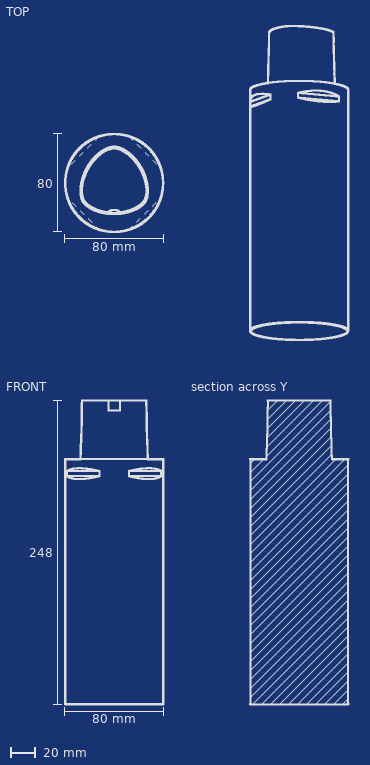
import math
import cadquery as cq

total_length = 248.0
body_diameter = 80.0
body_radius = body_diameter / 2
bottom_chamfer = 0.5

shank_length = 47.9
shank_base_radius = 27.5
shank_taper = 1 / 20
shank_top_radius = shank_base_radius - shank_length * shank_taper / 2
lobe_height = 2.1
profile_points = 48
body_length = total_length - shank_length

notch_radius = 6.0
notch_depth_z = 8.5
notch_inner_y = -21.8

groove_count = 4
groove_first_angle = 45.0
groove_center_z = 188.2
groove_floor_distance = 35.5
groove_floor_height = 4.0
groove_mouth_height = 9.0


def lobed_point(t, mean_radius):
    """Point of the curve whose tangent lies mean_radius + lobe_height * cos(3a) from the axis."""
    angle = 2 * math.pi * t
    support = mean_radius + lobe_height * math.cos(3 * angle)
    slope = -3 * lobe_height * math.sin(3 * angle)
    along_lobe = support * math.cos(angle) - slope * math.sin(angle)
    across_lobe = support * math.sin(angle) + slope * math.cos(angle)
    return -across_lobe, along_lobe


def lobed_wire(mean_radius, z):
    points = [
        cq.Vector(*lobed_point(i / profile_points, mean_radius), z)
        for i in range(profile_points)
    ]
    return cq.Wire.assembleEdges([cq.Edge.makeSpline(points, periodic=True)])


def make_body():
    return (
        cq.Workplane("XY")
        .circle(body_radius)
        .extrude(body_length)
        .faces("<Z")
        .chamfer(bottom_chamfer)
    )


def make_shank():
    base = lobed_wire(shank_base_radius, body_length)
    top = lobed_wire(shank_top_radius, total_length)
    return cq.Workplane(cq.Solid.makeLoft([base, top], True))


def make_notch():
    return (
        cq.Workplane("XY", origin=(0, notch_inner_y - notch_radius, total_length))
        .circle(notch_radius)
        .extrude(-notch_depth_z)
    )


def make_groove(angle):
    """Straight trapezoidal cutter that widens to its mouth at the body surface."""
    half_floor = groove_floor_height / 2
    half_mouth = groove_mouth_height / 2
    section = [
        (groove_floor_distance, groove_center_z - half_floor),
        (body_radius, groove_center_z - half_mouth),
        (body_radius, groove_center_z + half_mouth),
        (groove_floor_distance, groove_center_z + half_floor),
    ]
    return (
        cq.Workplane("XZ")
        .polyline(section)
        .close()
        .extrude(body_radius, both=True)
        .rotate((0, 0, 0), (0, 0, 1), angle)
    )


result = make_body().union(make_shank()).cut(make_notch())
for index in range(groove_count):
    result = result.cut(make_groove(groove_first_angle + index * 360 / groove_count))